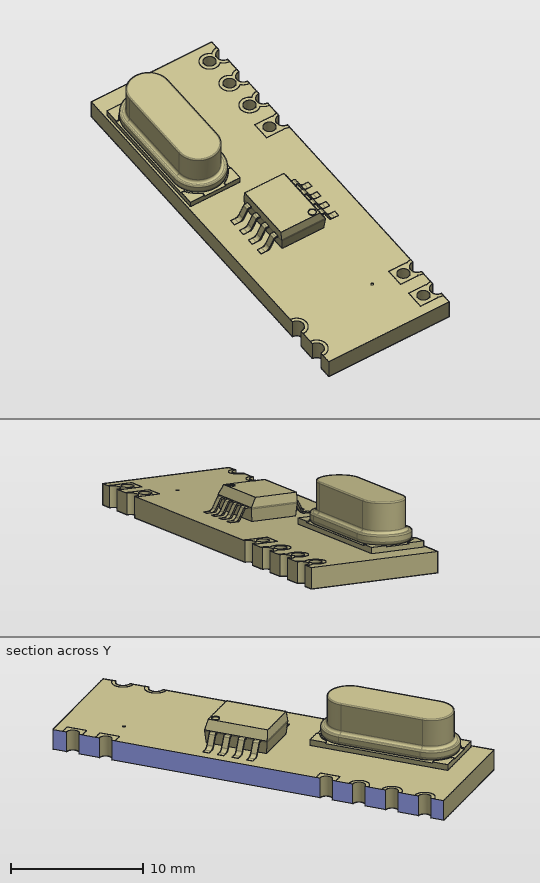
import cadquery as cq
import math

board_length = 32.15
board_width = 11.0
board_thickness = 1.67

contact_pitch = 2.7
end_margin = 1.58
other_end_margin = 1.65
left_contact_count = 4
hole_diameter = 1.0
hole_inset = 1.25
notch_radius = 0.58
notch_land_radius = 0.87
land_size = 1.6
copper_height = 0.01

dot_diameter = 0.2
dot_center = (27.4, 7.17)

crystal_center = (7.45, 2.48)
straight_length = 6.7
base_length = 11.32
base_width = 4.53
base_height = 0.48
recess_radius = 2.28
recess_side_opening = 8.8
recess_end_opening = 1.93
recess_depth = 0.1
flange_radius = 2.22
flange_top = 2.85
flange_top_round = 0.1
flange_bottom_round = 0.3
can_radius = 1.75
can_top = 5.35
can_top_round = 0.1
can_foot_flare = 0.24

chip_left = 15.5
chip_length = 5.15
chip_front = 3.47
chip_width = 4.0
chip_top = 3.5
band_bottom = 2.67
band_top = 2.75
lower_taper = 0.1
upper_side_taper = 0.13
upper_back_taper = 0.42
mark_diameter = 0.6
mark_depth = 0.05
mark_side_inset = 0.55
mark_back_inset = 0.85

lead_count = 4
lead_row_span = 3.6
lead_width = 0.5
lead_thickness = 0.13
lead_knee_reach = 2.3
lead_heel_reach = 2.9
lead_tip_reach = 3.55
lead_foot_height = 0.015
lead_knee_round = 0.2
lead_heel_round = 0.45

hole_y = board_width - hole_inset
left_contacts = [end_margin + i * contact_pitch for i in range(left_contact_count)]
last_contact = board_length - other_end_margin
right_contacts = [last_contact - contact_pitch, last_contact]
round_land_contacts = left_contacts[:-1]
square_land_contacts = left_contacts[-1:] + right_contacts
back_notches = [(x, board_width) for x in left_contacts + right_contacts]
front_notches = [(x, 0) for x in right_contacts]
notches = back_notches + front_notches
lead_pitch = lead_row_span / (lead_count - 1)
chip_middle_x = chip_left + chip_length / 2
chip_middle_y = chip_front + chip_width / 2


def points_at_y(x_places, y):
    """One point at the given Y for each X place."""
    return [(x, y) for x in x_places]


def discs(points, diameter, bottom, height):
    """Upright cylinders of one diameter standing at the given points."""
    plane = cq.Workplane("XY").workplane(offset=bottom)
    return plane.pushPoints(points).circle(diameter / 2).extrude(height)


def rounded_bar(radius, bottom, top):
    """Upright prism with two straight sides and half-round ends, centred on the crystal."""
    plane = cq.Workplane("XY", origin=(*crystal_center, bottom))
    return plane.slot2D(straight_length + 2 * radius, 2 * radius).extrude(top - bottom)


def tapered_block(bottom_rect, bottom, top_rect, top):
    """Loft between two rectangles given as (x0, y0, x1, y1)."""
    def outline(rect, z):
        x0, y0, x1, y1 = rect
        corners = [(x0, y0, z), (x1, y0, z), (x1, y1, z), (x0, y1, z)]
        return cq.Wire.makePolygon([cq.Vector(*c) for c in corners], close=True)

    solid = cq.Solid.makeLoft([outline(bottom_rect, bottom), outline(top_rect, top)], True)
    return cq.Workplane("XY").add(solid)


def make_board():
    """Board with raised lands, a registration dot, edge notches and through holes."""
    total_height = board_thickness + copper_height
    blank = cq.Workplane("XY").box(board_length, board_width, total_height, centered=False)
    hole_points = points_at_y(left_contacts + right_contacts, hole_y)
    round_points = points_at_y(round_land_contacts, hole_y)
    square_points = points_at_y(square_land_contacts, hole_y)

    copper = discs(notches, 2 * notch_land_radius, board_thickness, copper_height)
    copper = copper.union(discs(round_points, land_size, board_thickness, copper_height))
    land_plane = cq.Workplane("XY").workplane(offset=board_thickness)
    squares = land_plane.pushPoints(square_points).rect(land_size, land_size).extrude(copper_height)
    copper = copper.union(squares)
    copper = copper.union(discs([dot_center], dot_diameter, board_thickness, copper_height))
    copper = copper.intersect(blank)

    board = cq.Workplane("XY").box(board_length, board_width, board_thickness, centered=False)
    board = board.union(copper)
    board = board.cut(discs(hole_points, hole_diameter, 0, total_height))
    return board.cut(discs(notches, 2 * notch_radius, 0, total_height))


def make_crystal():
    """Metal can on a rounded flange, set into a recess open to all four sides of its base."""
    base_top = board_thickness + base_height
    recess_floor = base_top - recess_depth
    base = cq.Workplane("XY", origin=(*crystal_center, board_thickness))
    base = base.box(base_length, base_width, base_height, centered=(True, True, False))
    recess_plane = cq.Workplane("XY", origin=(*crystal_center, recess_floor))
    base = base.cut(rounded_bar(recess_radius, recess_floor, base_top))
    base = base.cut(recess_plane.rect(recess_side_opening, base_width).extrude(recess_depth))
    base = base.cut(recess_plane.rect(base_length, recess_end_opening).extrude(recess_depth))

    flange = rounded_bar(flange_radius, recess_floor, flange_top)
    flange = flange.faces(">Z").edges().fillet(flange_top_round)
    flange = flange.faces("<Z").edges().fillet(flange_bottom_round)

    can = rounded_bar(can_radius, flange_top, can_top)
    can = can.faces(">Z").edges().fillet(can_top_round)
    metal = flange.union(can)
    half_width = can_radius + can_foot_flare / 2
    half_length = half_width + straight_length / 2
    half_height = flange_top_round / 2
    center_x, center_y = crystal_center
    seam_zone = cq.selectors.BoxSelector(
        (center_x - half_length, center_y - half_width, flange_top - half_height),
        (center_x + half_length, center_y + half_width, flange_top + half_height),
        boundingbox=True,
    )
    metal = metal.edges(seam_zone).fillet(can_foot_flare)
    return base.union(metal)


def make_chip_body():
    """Chip body with tapered halves and a round recess marking its first lead."""
    x0 = chip_left
    x1 = chip_left + chip_length
    y0 = chip_front
    y1 = chip_front + chip_width
    full_rect = (x0, y0, x1, y1)
    bottom_rect = (x0 + lower_taper, y0 + lower_taper, x1 - lower_taper, y1 - lower_taper)
    top_rect = (x0 + upper_side_taper, y0, x1 - upper_side_taper, y1 - upper_back_taper)

    body = tapered_block(bottom_rect, board_thickness, full_rect, band_bottom)
    body = body.union(tapered_block(full_rect, band_bottom, full_rect, band_top))
    body = body.union(tapered_block(full_rect, band_top, top_rect, chip_top))
    mark_center = (x1 - mark_side_inset, y1 - mark_back_inset)
    return body.cut(discs([mark_center], mark_diameter, chip_top - mark_depth, mark_depth))


def make_lead(x):
    """Gull-wing lead at the back of the chip, centred on x; its foot sinks into the board."""
    foot_top = board_thickness + lead_foot_height
    underside = band_top - lead_thickness
    foot_bottom = foot_top - lead_thickness
    drop_angle = math.atan2(band_top - foot_top, lead_heel_reach - lead_knee_reach)
    under_shift = lead_thickness * math.tan(drop_angle / 2)
    root = chip_width / 2 - lead_thickness
    profile = [
        (root, band_top),
        (lead_knee_reach, band_top),
        (lead_heel_reach, foot_top),
        (lead_tip_reach, foot_top),
        (lead_tip_reach, foot_bottom),
        (lead_heel_reach - under_shift, foot_bottom),
        (lead_knee_reach - under_shift, underside),
        (root, underside),
    ]
    plane = cq.Workplane("YZ", origin=(x - lead_width / 2, chip_middle_y, 0))
    lead = plane.polyline(profile).close().extrude(lead_width)

    def round_bend(body, point, radius):
        bend = (x, chip_middle_y + point[0], point[1])
        return body.edges(cq.selectors.NearestToPointSelector(bend)).fillet(radius)

    lead = round_bend(lead, profile[1], lead_knee_round)
    lead = round_bend(lead, profile[2], lead_heel_round)
    lead = round_bend(lead, profile[5], lead_heel_round + lead_thickness)
    return round_bend(lead, profile[6], lead_knee_round - lead_thickness)


def make_leads():
    """Equal rows of leads along the back and front of the chip."""
    first_x = chip_middle_x - lead_row_span / 2
    row = make_lead(first_x)
    for i in range(1, lead_count):
        row = row.add(make_lead(first_x + i * lead_pitch))
    row = row.combine()
    return row.union(row.mirror("XZ", (0, chip_middle_y, 0)))


result = make_board().union(make_crystal()).union(make_chip_body()).union(make_leads())